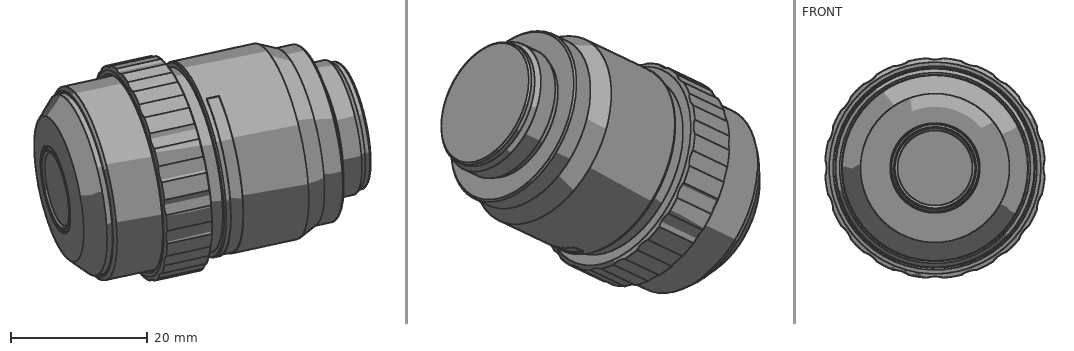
import cadquery as cq
import math

TOTAL_LENGTH = 45.9

CELL_DIA = 12.8
CELL_LIP_OUTER_DIA = 12.1
CELL_LIP_INNER_DIA = 11.8
CELL_FLOOR_DIA = 11.0
CELL_RECESS_DEPTH = 0.3
CELL_RIM_CHAMFER = (CELL_DIA - CELL_LIP_OUTER_DIA) / 2
CELL_LENGTH = 2.3

NOSE_DIA = 27.25
NOSE_SHOULDER_DIA = 21.9
NOSE_FACE_DIA = 18.0
NOSE_SHOULDER_Y = 0.55
NOSE_CONE_END_Y = NOSE_SHOULDER_Y + (NOSE_DIA - NOSE_SHOULDER_DIA) / 2
CELL_SEAT_MOUTH_DIA = 13.2
CELL_SEAT_CHAMFER = (CELL_SEAT_MOUTH_DIA - CELL_DIA) / 2

SLEEVE_DIA = 29.2
SLEEVE_BORE_DIA = 27.45
SLEEVE_FRONT_DIA = 28.05
SLEEVE_FRONT_Y = 4.05
SLEEVE_CHAMFER_LENGTH = 0.4
SLEEVE_FLOOR_THICKNESS = 2.3

RING_DIA = 32.4
RING_FACE_DIA = 31.1
RING_FRONT_Y = 11.45
RING_BACK_Y = 18.95
RING_EDGE_LENGTH = 0.28
RING_BORE_DIA = 29.4
RING_BORE_MOUTH_DIA = 29.95
RING_BORE_CHAMFER = (RING_BORE_MOUTH_DIA - RING_BORE_DIA) / 2
RING_FLANGE_THICKNESS = 2.3
FLUTE_COUNT = 20
FLUTE_RADIUS = 4.0
FLUTE_FLOOR_RADIUS = 15.97

BARREL_DIA = 27.85

HOUSING_DIA = 29.5
HOUSING_FRONT_DIA = 29.25
HOUSING_FRONT_Y = 21.15
HOUSING_EDGE_LENGTH = 0.28
HOUSING_TAPER_START_Y = 34.3
FLANGE_DIA = 26.8
FLANGE_START_Y = 37.22
FLANGE_BACK_Y = 40.35
FLANGE_CHAMFER = 0.28

BAND_FRONT_Y = 22.15
BAND_BACK_Y = 24.1
BAND_DEPTH = 0.15
BAND_END_X = 4.0
BAND_CUTTER_MARGIN = 0.45

MOUNT_NECK_DIA = 19.45
THREAD_DIA = 20.35
THREAD_FRONT_Y = 41.3
THREAD_BACK_Y = 44.2
PILOT_DIA = 19.25
PILOT_FRONT_Y = 44.95
PILOT_CHAMFER = 0.28

SLEEVE_BACK_Y = RING_BACK_Y - RING_FLANGE_THICKNESS
NOSE_BACK_Y = SLEEVE_BACK_Y - SLEEVE_FLOOR_THICKNESS


def turned(profile, angle=360):
    """Revolve a closed outline of (diameter, y) points about the Y axis, starting at +X."""
    points = [(diameter / 2, y) for diameter, y in profile]
    return cq.Workplane("XY").polyline(points).close().revolve(angle, (0, 0), (0, 1))


def make_lens_cell():
    return turned([
        (0, CELL_RECESS_DEPTH),
        (CELL_FLOOR_DIA, CELL_RECESS_DEPTH),
        (CELL_LIP_INNER_DIA, 0),
        (CELL_LIP_OUTER_DIA, 0),
        (CELL_DIA, CELL_RIM_CHAMFER),
        (CELL_DIA, CELL_LENGTH),
        (0, CELL_LENGTH),
    ])


def make_nose():
    return turned([
        (0, CELL_LENGTH),
        (CELL_DIA, CELL_LENGTH),
        (CELL_DIA, CELL_SEAT_CHAMFER),
        (CELL_SEAT_MOUTH_DIA, 0),
        (NOSE_FACE_DIA, 0),
        (NOSE_SHOULDER_DIA, NOSE_SHOULDER_Y),
        (NOSE_DIA, NOSE_CONE_END_Y),
        (NOSE_DIA, NOSE_BACK_Y),
        (0, NOSE_BACK_Y),
    ])


def make_sleeve():
    return turned([
        (0, NOSE_BACK_Y),
        (SLEEVE_BORE_DIA, NOSE_BACK_Y),
        (SLEEVE_BORE_DIA, SLEEVE_FRONT_Y),
        (SLEEVE_FRONT_DIA, SLEEVE_FRONT_Y),
        (SLEEVE_DIA, SLEEVE_FRONT_Y + SLEEVE_CHAMFER_LENGTH),
        (SLEEVE_DIA, SLEEVE_BACK_Y),
        (0, SLEEVE_BACK_Y),
    ])


def make_ring():
    ring = turned([
        (BARREL_DIA, RING_BACK_Y),
        (BARREL_DIA, SLEEVE_BACK_Y),
        (RING_BORE_DIA, SLEEVE_BACK_Y),
        (RING_BORE_DIA, RING_FRONT_Y + RING_BORE_CHAMFER),
        (RING_BORE_MOUTH_DIA, RING_FRONT_Y),
        (RING_FACE_DIA, RING_FRONT_Y),
        (RING_DIA, RING_FRONT_Y + RING_EDGE_LENGTH),
        (RING_DIA, RING_BACK_Y - RING_EDGE_LENGTH),
        (RING_FACE_DIA, RING_BACK_Y),
    ])
    flutes = (
        cq.Workplane("XZ", origin=(0, RING_FRONT_Y, 0))
        .polarArray(FLUTE_FLOOR_RADIUS + FLUTE_RADIUS, 0, 360, FLUTE_COUNT)
        .circle(FLUTE_RADIUS)
        .extrude(RING_FRONT_Y - RING_BACK_Y, combine=False)
    )
    for flute in flutes.vals():
        ring = ring.cut(cq.Workplane(flute))
    return ring


def make_barrel():
    return turned([
        (0, SLEEVE_BACK_Y),
        (BARREL_DIA, SLEEVE_BACK_Y),
        (BARREL_DIA, HOUSING_FRONT_Y),
        (0, HOUSING_FRONT_Y),
    ])


def make_label_band():
    """Sector of a ring that sinks the label band into the housing."""
    half_angle = math.degrees(math.acos(BAND_END_X / (HOUSING_DIA / 2)))
    floor_dia = HOUSING_DIA - 2 * BAND_DEPTH
    cutter_dia = HOUSING_DIA + 2 * BAND_CUTTER_MARGIN
    sector = turned([
        (floor_dia, BAND_FRONT_Y),
        (cutter_dia, BAND_FRONT_Y),
        (cutter_dia, BAND_BACK_Y),
        (floor_dia, BAND_BACK_Y),
    ], 2 * half_angle)
    return sector.rotate((0, 0, 0), (0, 1, 0), -half_angle)


def make_housing():
    body = turned([
        (0, HOUSING_FRONT_Y),
        (HOUSING_FRONT_DIA, HOUSING_FRONT_Y),
        (HOUSING_DIA, HOUSING_FRONT_Y + HOUSING_EDGE_LENGTH),
        (HOUSING_DIA, HOUSING_TAPER_START_Y),
        (FLANGE_DIA, FLANGE_START_Y),
        (FLANGE_DIA, FLANGE_BACK_Y - FLANGE_CHAMFER),
        (FLANGE_DIA - 2 * FLANGE_CHAMFER, FLANGE_BACK_Y),
        (0, FLANGE_BACK_Y),
    ])
    return body.cut(make_label_band())


def make_mount():
    return turned([
        (0, FLANGE_BACK_Y),
        (MOUNT_NECK_DIA, FLANGE_BACK_Y),
        (MOUNT_NECK_DIA, THREAD_FRONT_Y),
        (THREAD_DIA, THREAD_FRONT_Y),
        (THREAD_DIA, THREAD_BACK_Y),
        (PILOT_DIA, PILOT_FRONT_Y),
        (PILOT_DIA, TOTAL_LENGTH - PILOT_CHAMFER),
        (PILOT_DIA - 2 * PILOT_CHAMFER, TOTAL_LENGTH),
        (0, TOTAL_LENGTH),
    ])


lens_cell = make_lens_cell()
nose = make_nose()
sleeve = make_sleeve()
ring = make_ring()
barrel = make_barrel()
housing = make_housing()
mount = make_mount()

result = cq.Compound.makeCompound([
    lens_cell.val(),
    nose.val(),
    sleeve.val(),
    ring.val(),
    barrel.val(),
    housing.val(),
    mount.val(),
])